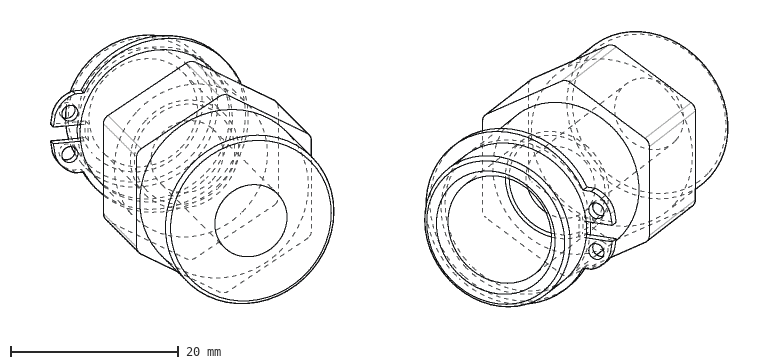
import cadquery as cq
import math

length = 45.0
hex_start = 20.55
hex_length = 13.5
hex_end = hex_start + hex_length
ring_start = 5.3
ring_thickness = 1.15

nose_diameter = 19.0
neck_end_diameter = 19.1
tail_diameter = 21.0
nose_chamfer = 0.5
tail_chamfer = 0.5
groove_diameter = 17.0

across_flats = 21.8
hex_corner_radius = 1.12

bore_diameter = 13.5
seat_diameter = 12.5
through_diameter = 9.0
mouth_diameter = 15.5
mouth_depth = 1.15
bore_depth = 18.0
seat_cone_depth = (seat_diameter - through_diameter) / 2 * math.tan(math.radians(30))

ring_diameter = 21.7
ring_offset = 0.65
gap_width = 2.05
lug_half_width = 4.95
lug_arc_start = 10.1
lug_arc_middle = (-11.8, 3.9)
lug_arc_end = (-12.6, 2.48)
lug_reach = 12.82
lug_hole_diameter = 2.0
lug_hole_y = -10.75
lug_hole_z = 2.588


def make_outside():
    """Turned profile revolved about X, with the ring groove open."""
    nose_r = nose_diameter / 2
    neck_r = neck_end_diameter / 2
    tail_r = tail_diameter / 2
    groove_r = groove_diameter / 2
    ring_end = ring_start + ring_thickness
    return (
        cq.Workplane("XY")
        .moveTo(0, 0)
        .lineTo(0, nose_r - nose_chamfer)
        .lineTo(nose_chamfer, nose_r)
        .lineTo(ring_start, nose_r)
        .lineTo(ring_start, groove_r)
        .lineTo(ring_end, groove_r)
        .lineTo(ring_end, nose_r)
        .lineTo(hex_start, neck_r)
        .lineTo(hex_end, neck_r)
        .lineTo(hex_end, tail_r)
        .lineTo(length - tail_chamfer, tail_r)
        .lineTo(length, tail_r - tail_chamfer)
        .lineTo(length, 0)
        .close()
        .revolve(360, (0, 0, 0), (1, 0, 0))
    )


def make_hexagon():
    """Hexagonal grip with rounded corners, two of them on the Z axis."""
    corner_diameter = across_flats / math.cos(math.radians(30))
    return (
        cq.Workplane("YZ", origin=(hex_start, 0, 0))
        .transformed(rotate=(0, 0, 90))
        .polygon(6, corner_diameter)
        .extrude(hex_length)
        .edges("|X")
        .fillet(hex_corner_radius)
    )


def make_bore():
    """Flared mouth, bore, step, conical seat and through hole."""
    bore_r = bore_diameter / 2
    through_r = through_diameter / 2
    return (
        cq.Workplane("XY")
        .moveTo(0, 0)
        .lineTo(0, mouth_diameter / 2)
        .lineTo(mouth_depth, bore_r)
        .lineTo(bore_depth, bore_r)
        .lineTo(bore_depth, seat_diameter / 2)
        .lineTo(bore_depth + seat_cone_depth, through_r)
        .lineTo(length, through_r)
        .lineTo(length, 0)
        .close()
        .revolve(360, (0, 0, 0), (1, 0, 0))
    )


def make_lug():
    """Upper plier lug; its root is buried in the ring."""
    root_y = -groove_diameter / 2
    return (
        cq.Workplane("YZ", origin=(ring_start, 0, 0))
        .moveTo(root_y, 0)
        .lineTo(root_y, lug_half_width)
        .lineTo(-lug_arc_start, lug_half_width)
        .threePointArc(lug_arc_middle, lug_arc_end)
        .lineTo(-lug_reach, gap_width / 2)
        .lineTo(-lug_reach, 0)
        .close()
        .extrude(ring_thickness)
    )


def make_ring():
    """Retaining ring with two drilled lugs beside an open gap."""
    plane = cq.Workplane("YZ", origin=(ring_start, 0, 0))
    lug = make_lug()
    blank = plane.center(ring_offset, 0).circle(ring_diameter / 2).extrude(ring_thickness)
    blank = blank.union(lug).union(lug.mirror("XY"))
    shaft = plane.circle(groove_diameter / 2).extrude(ring_thickness)
    gap = plane.center(-lug_reach / 2, 0).rect(lug_reach, gap_width).extrude(ring_thickness)
    holes = (
        plane.pushPoints([(lug_hole_y, lug_hole_z), (lug_hole_y, -lug_hole_z)])
        .circle(lug_hole_diameter / 2)
        .extrude(ring_thickness)
    )
    return blank.cut(shaft).cut(gap).cut(holes)


result = make_outside().union(make_hexagon()).cut(make_bore()).union(make_ring())